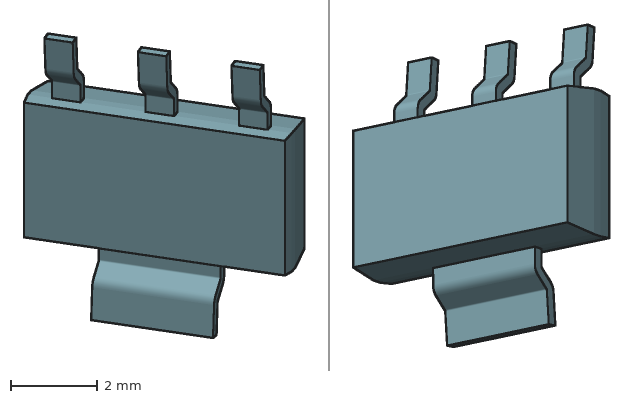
import cadquery as cq
import math

body_width = 6.5
body_height = 3.5
back_depth = 0.88
front_depth = 0.365
side_draft = 6.0
end_draft = 7.0

strip_thickness = 0.25
overall_height = 7.0
straight_length = 0.41
inner_radius = 0.05
slope_length = 0.43
slope_angle = 40.0
foot_angle = 5.0

lead_width = 0.7
lead_pitch = 2.3
lead_count = 3
tab_width = 3.0

half_thickness = strip_thickness / 2
half_height = body_height / 2


def make_tapered_block(depth, direction):
    """Frustum growing from one face of the band; direction is the sign along Y."""
    side_inset = depth * math.tan(math.radians(side_draft))
    end_inset = depth * math.tan(math.radians(end_draft))
    plane = cq.Plane(
        origin=(0, direction * half_thickness, 0), xDir=(1, 0, 0), normal=(0, direction, 0)
    )
    return (
        cq.Workplane(plane)
        .rect(body_width, body_height)
        .workplane(offset=depth)
        .rect(body_width - 2 * side_inset, body_height - 2 * end_inset)
        .loft(ruled=True)
    )


def make_housing():
    band = cq.Workplane("XY").box(body_width, strip_thickness, body_height)
    back = make_tapered_block(back_depth, 1)
    front = make_tapered_block(front_depth, -1)
    return band.union(back).union(front)


def offset_point(point, angle, distance):
    """Point in (Y, Z) at a distance, with the angle in degrees from -Y towards +Z."""
    turn = math.radians(angle)
    return (point[0] - distance * math.cos(turn), point[1] + distance * math.sin(turn))


def make_strip(width, x_center):
    """Upward strip: straight, sloped to the front, then a foot, with concentric arcs at both bends."""
    foot_direction = 90 - foot_angle
    slope_normal = slope_angle + 90
    outer_radius = inner_radius + strip_thickness

    first_center = (-half_thickness - inner_radius, half_height + straight_length)
    slope_front_start = offset_point(first_center, slope_normal, inner_radius)
    slope_back_start = offset_point(first_center, slope_normal, outer_radius)
    slope_front_end = offset_point(slope_front_start, slope_angle, slope_length)
    slope_back_end = offset_point(slope_back_start, slope_angle, slope_length)
    second_center = offset_point(slope_back_end, slope_normal, inner_radius)
    first_middle = (slope_normal + 180) / 2
    second_middle = (slope_angle - 90 - foot_angle) / 2

    foot_back_start = offset_point(second_center, -foot_angle, inner_radius)
    foot_front_start = offset_point(second_center, -foot_angle, outer_radius)
    foot_length = (overall_height / 2 - foot_back_start[1]) / math.sin(math.radians(foot_direction))
    tip_back = offset_point(foot_back_start, foot_direction, foot_length)
    tip_front = offset_point(foot_front_start, foot_direction, foot_length)

    profile = (
        cq.Workplane("YZ", origin=(x_center, 0, 0))
        .moveTo(-half_thickness, half_height)
        .lineTo(-half_thickness, first_center[1])
        .threePointArc(offset_point(first_center, first_middle, inner_radius), slope_front_start)
        .lineTo(*slope_front_end)
        .threePointArc(offset_point(second_center, second_middle, outer_radius), foot_front_start)
        .lineTo(*tip_front)
        .lineTo(*tip_back)
        .lineTo(*foot_back_start)
        .threePointArc(offset_point(second_center, second_middle, inner_radius), slope_back_end)
        .lineTo(*slope_back_start)
        .threePointArc(
            offset_point(first_center, first_middle, outer_radius),
            (half_thickness, first_center[1]),
        )
        .lineTo(half_thickness, half_height)
        .close()
    )
    return profile.extrude(width / 2, both=True)


def make_lead(index):
    return make_strip(lead_width, (index - (lead_count - 1) / 2) * lead_pitch)


def make_tab():
    """Wide strip bent like the leads, pointing down from the opposite end."""
    return make_strip(tab_width, 0).mirror("XY")


housing = make_housing()
leads = [make_lead(index) for index in range(lead_count)]
tab = make_tab()

result = cq.Compound.makeCompound([housing.val(), *[lead.val() for lead in leads], tab.val()])